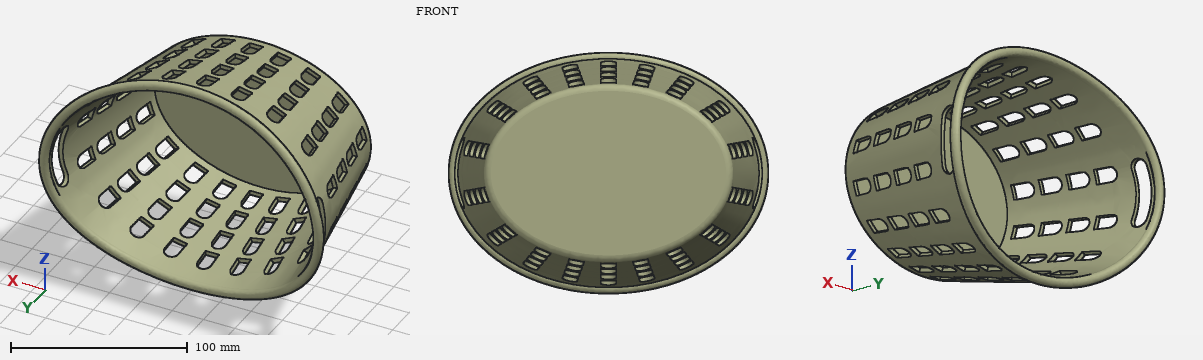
import cadquery as cq
import math

BASE_SEMI_X = 70.0
BASE_SEMI_Z = 50.0
WALL_DRAFT = 10.0
WALL_THICKNESS = 2.8
FLOOR_THICKNESS = 3.0
BASE_FILLET = 4.0

RIM_RADIUS = 3.0
RIM_END_HEIGHT = 100.0
RIM_DIP_RADIUS = 300.0

VENT_WIDTH = 8.5
VENT_HEIGHT = 14.0
VENT_ROWS = 4
VENT_COLUMNS = 18
VENT_COLUMN_STEP = 360 / VENT_COLUMNS
FIRST_VENT_HEIGHT = 8.0
VENT_PITCH = 18.0
VENT_CUT_START = BASE_SEMI_Z - 2 * WALL_THICKNESS

HANDLE_HEIGHT = 92.0
HANDLE_WIDTH = 10.0
HANDLE_ARCH_RADIUS = 100.0
HANDLE_HALF_SPAN = 15.0

DRAFT_SLOPE = math.tan(math.radians(WALL_DRAFT))
RIM_END_X = BASE_SEMI_X + RIM_END_HEIGHT * DRAFT_SLOPE
RIM_DIP_CENTER = RIM_END_HEIGHT + math.sqrt(RIM_DIP_RADIUS**2 - RIM_END_X**2)
BLANK_HEIGHT = RIM_END_HEIGHT + 2 * RIM_RADIUS
CUT_REACH = 2 * RIM_END_X


def tapered_cup(inset, bottom):
    """Solid elliptical cup, inset sideways from the outer wall, from a bottom height upwards."""
    plane = cq.Plane(origin=(0, bottom, 0), xDir=(1, 0, 0), normal=(0, 1, 0))
    bottom_spread = bottom * DRAFT_SLOPE - inset
    top_spread = BLANK_HEIGHT * DRAFT_SLOPE - inset
    return (
        cq.Workplane(plane)
        .ellipse(BASE_SEMI_X + bottom_spread, BASE_SEMI_Z + bottom_spread)
        .workplane(offset=BLANK_HEIGHT - bottom)
        .ellipse(BASE_SEMI_X + top_spread, BASE_SEMI_Z + top_spread)
        .loft(ruled=True)
    )


def shell():
    outside = tapered_cup(0, 0).faces("<Y").edges().fillet(BASE_FILLET)
    inside = tapered_cup(WALL_THICKNESS, FLOOR_THICKNESS)
    above_rim = (
        cq.Workplane("XY")
        .center(0, RIM_DIP_CENTER)
        .circle(RIM_DIP_RADIUS)
        .extrude(CUT_REACH, both=True)
    )
    return outside.cut(inside).cut(above_rim)


def rim_bead(open_shell):
    """Round bead centred on the outer edge of the shell's curved top face."""
    rim_curve = open_shell.faces("%CYLINDER").val().outerWire()
    return (
        cq.Workplane("XY")
        .center(RIM_END_X, RIM_END_HEIGHT)
        .circle(RIM_RADIUS)
        .sweep(cq.Workplane(rim_curve), isFrenet=True)
    )


def vent_column(angle):
    """Cutter for one column of vents, reaching outwards at an angle from +X towards +Z."""
    half_width = VENT_WIDTH / 2
    column = cq.Workplane("YZ", origin=(VENT_CUT_START, 0, 0))
    for row in range(VENT_ROWS):
        bottom = FIRST_VENT_HEIGHT + row * VENT_PITCH
        top = bottom + VENT_HEIGHT
        shoulder = top - half_width
        column = (
            column.moveTo(bottom, -half_width)
            .lineTo(shoulder, -half_width)
            .threePointArc((top, 0), (shoulder, half_width))
            .lineTo(bottom, half_width)
            .close()
        )
    return column.extrude(CUT_REACH).rotate((0, 0, 0), (0, 1, 0), -angle)


def handle_slot():
    """Cutter for the arched hand holes, passing through both X ends."""
    half_width = HANDLE_WIDTH / 2
    arch_center = HANDLE_HEIGHT - HANDLE_ARCH_RADIUS
    end_angle = math.asin(HANDLE_HALF_SPAN / HANDLE_ARCH_RADIUS)

    def on_arch(offset, angle):
        radius = HANDLE_ARCH_RADIUS + offset
        return (arch_center + radius * math.cos(angle), radius * math.sin(angle))

    def slot_tip(side):
        y, z = on_arch(0, side * end_angle)
        tip_drop = half_width * math.sin(end_angle)
        tip_reach = half_width * math.cos(end_angle)
        return (y - tip_drop, z + side * tip_reach)

    return (
        cq.Workplane("YZ")
        .moveTo(*on_arch(half_width, -end_angle))
        .threePointArc(on_arch(half_width, 0), on_arch(half_width, end_angle))
        .threePointArc(slot_tip(1), on_arch(-half_width, end_angle))
        .threePointArc(on_arch(-half_width, 0), on_arch(-half_width, -end_angle))
        .threePointArc(slot_tip(-1), on_arch(half_width, -end_angle))
        .close()
        .extrude(CUT_REACH, both=True)
    )


def all_vents():
    vents = cq.Workplane("XY")
    for column_number in range(VENT_COLUMNS):
        angle = (column_number + 0.5) * VENT_COLUMN_STEP
        vents = vents.add(vent_column(angle).solids())
    return vents.combine(glue=True)


open_shell = shell()
basket = open_shell.cut(handle_slot()).cut(all_vents())
result = basket.union(rim_bead(open_shell))